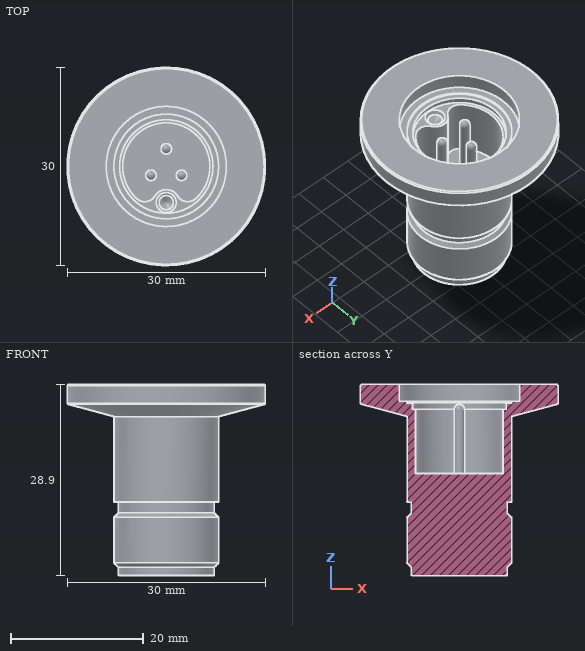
import cadquery as cq
import math

flange_radius = 14.98
flange_edge_depth = 3.03
flange_taper_angle = 15.0
flange_face_chamfer = 0.2
flange_underside_bevel = 0.15
body_radius = 7.95
neck_radius = 14.55 / 2
total_height = 28.95
groove_top = total_height - 17.85
groove_lower_edge = total_height - 19.45
spigot_height = 1.3
small_chamfer = 0.12
neck_step = body_radius - neck_radius

mouth_radius = 18.15 / 2
mouth_depth = 2.58
seat_radius = 15.82 / 2
seat_depth = 2.82
collar_radius = 14.12 / 2
collar_depth = 3.78

chamber_radius = 6.6
chamber_depth = 13.5
key_radius = 1.98
key_center_y = -5.45
key_blend_radius = 1.8

socket_mouth_radius = 1.5
socket_radius = 2.15 / 2
socket_chamfer_depth = 0.6
socket_cone_depth = 0.6

pin_radius = 1.6 / 2
pin_circle_radius = 2.67
pin_tip_depths = [3.05, 3.05, 3.72]


def disc(radius, depth_from, depth_to):
    """Cylinder on the Z axis between two depths below the flange face."""
    return (
        cq.Workplane("XY", origin=(0, 0, total_height - depth_to))
        .circle(radius)
        .extrude(depth_to - depth_from)
    )


def make_body():
    taper_slope = math.tan(math.radians(flange_taper_angle))
    flange_edge_z = total_height - flange_edge_depth
    taper_top_z = flange_edge_z - flange_underside_bevel * taper_slope
    taper_bottom_z = flange_edge_z - (flange_radius - body_radius) * taper_slope
    profile = [
        (0, 0),
        (neck_radius - small_chamfer, 0),
        (neck_radius, small_chamfer),
        (neck_radius, spigot_height),
        (body_radius, spigot_height + neck_step),
        (body_radius, groove_lower_edge - neck_step),
        (neck_radius, groove_lower_edge),
        (neck_radius, groove_top),
        (body_radius - small_chamfer, groove_top),
        (body_radius, groove_top + small_chamfer),
        (body_radius, taper_bottom_z),
        (flange_radius - flange_underside_bevel, taper_top_z),
        (flange_radius, flange_edge_z + flange_underside_bevel),
        (flange_radius, total_height - flange_face_chamfer),
        (flange_radius - flange_face_chamfer, total_height),
        (0, total_height),
    ]
    return cq.Workplane("XZ").polyline(profile).close().revolve(360, (0, 0, 0), (0, 1, 0))


def make_opening():
    mouth = disc(mouth_radius, 0, mouth_depth)
    seat = disc(seat_radius, 0, seat_depth)
    collar = disc(collar_radius, 0, collar_depth)
    return mouth.union(seat).union(collar)


def make_chamber():
    """Round chamber whose wall flows over the key through two tangent blends."""
    key_distance = -key_center_y
    wall_to_blend = chamber_radius - key_blend_radius
    key_to_blend = key_radius + key_blend_radius
    blend_y = (key_to_blend**2 - wall_to_blend**2 - key_distance**2) / (2 * key_distance)
    blend_x = math.sqrt(wall_to_blend**2 - blend_y**2)
    wall_scale = chamber_radius / wall_to_blend
    wall_x = blend_x * wall_scale
    wall_y = blend_y * wall_scale
    key_share = key_radius / key_to_blend
    key_x = blend_x * key_share
    key_y = key_center_y + (blend_y - key_center_y) * key_share
    blend_low_y = blend_y - key_blend_radius
    return (
        cq.Workplane("XY", origin=(0, 0, total_height - chamber_depth))
        .moveTo(wall_x, wall_y)
        .threePointArc((0, chamber_radius), (-wall_x, wall_y))
        .threePointArc((-blend_x, blend_low_y), (-key_x, key_y))
        .threePointArc((0, key_center_y + key_radius), (key_x, key_y))
        .threePointArc((blend_x, blend_low_y), (wall_x, wall_y))
        .close()
        .extrude(chamber_depth - collar_depth)
    )


def make_socket():
    """Conical countersink narrowing into a shallower cone that ends in a point."""
    profile = [
        (0, 0),
        (socket_mouth_radius, 0),
        (socket_radius, -socket_chamfer_depth),
        (0, -socket_chamfer_depth - socket_cone_depth),
    ]
    cone = cq.Workplane("XZ").polyline(profile).close().revolve(360, (0, 0, 0), (0, 1, 0))
    return cone.translate((0, key_center_y, total_height - collar_depth))


def make_pin(tip_depth):
    """Round-ended pin on the Z axis, standing on the chamber floor."""
    shoulder_depth = tip_depth + pin_radius
    shank = disc(pin_radius, shoulder_depth, chamber_depth)
    tip = cq.Workplane("XY").sphere(pin_radius).translate((0, 0, total_height - shoulder_depth))
    return shank.union(tip)


def make_pins():
    """Contact pins evenly spaced on a circle, the first one on the +Y side."""
    pins = cq.Workplane("XY")
    pin_spacing = 360 / len(pin_tip_depths)
    for index, tip_depth in enumerate(pin_tip_depths):
        pin = make_pin(tip_depth).translate((0, pin_circle_radius, 0))
        pins = pins.add(pin.rotate((0, 0, 0), (0, 0, 1), index * pin_spacing))
    return pins.combine()


result = make_body().cut(make_opening()).cut(make_chamber()).cut(make_socket()).union(make_pins())